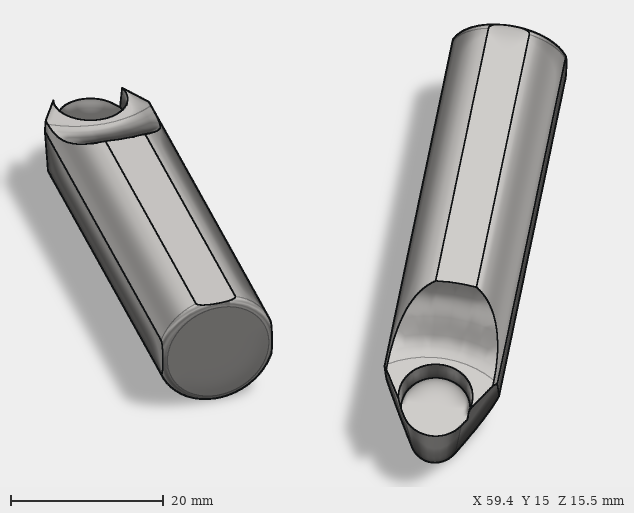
import cadquery as cq
import math

length = 59.35
shank_diameter = 15.95
across_flats = 15.0
end_round = 1.0
nose_radius = 4.35
relief_angle = 7.0
flank_angle = 30.0
disc_z = 0.8
seat_z = 3.7
pocket_clearance = 0.2
seat_radius = 12.9
seat_end_x = 10.2
scoop_end_x = 19.5

shank_radius = shank_diameter / 2
flat_distance = across_flats / 2
nose_x = nose_radius
relief_slope = math.tan(math.radians(relief_angle))
scoop_x = seat_end_x - seat_radius


def make_shank():
    """Round bar with a rounded rear rim and flats on the top and both sides."""
    bar = cq.Workplane("YZ").circle(shank_radius).extrude(length)
    bar = bar.faces(">X").edges().fillet(end_round)
    bottom_to_top = shank_radius + flat_distance
    envelope = cq.Workplane("XY").box(
        length, 2 * flat_distance, bottom_to_top, centered=(False, True, False)
    ).translate((0, 0, -shank_radius))
    return bar.intersect(envelope)


def make_nose_envelope():
    """Drafted wedge: a conical nose with two tangent flanks opening rearwards."""
    radius = nose_radius + relief_slope * (flat_distance - disc_z)
    angle = math.radians(flank_angle)
    tangent_x = nose_x - radius * math.sin(angle)
    tangent_y = radius * math.cos(angle)
    rear_x = 2 * length
    rear_y = tangent_y + (rear_x - tangent_x) * math.tan(angle)
    return (
        cq.Workplane("XY", origin=(0, 0, flat_distance))
        .moveTo(rear_x, rear_y)
        .lineTo(tangent_x, tangent_y)
        .threePointArc((nose_x - radius, 0), (tangent_x, -tangent_y))
        .lineTo(rear_x, -rear_y)
        .close()
        .extrude(-(flat_distance + shank_radius), taper=relief_angle)
    )


def make_scoop():
    """Cutter for the flat seat and the concave run-out, turned about a vertical axis."""
    rise = flat_distance - seat_z
    run = scoop_end_x - seat_end_x
    arc_radius = (run**2 + rise**2) / (2 * rise)
    arc_half_angle = math.radians(45)
    middle = (
        seat_radius + arc_radius * math.sin(arc_half_angle),
        seat_z + arc_radius * (1 - math.cos(arc_half_angle)),
    )
    top_z = seat_z + arc_radius
    return (
        cq.Workplane("XZ")
        .moveTo(0, seat_z)
        .lineTo(seat_radius, seat_z)
        .threePointArc(middle, (seat_radius + arc_radius, top_z))
        .lineTo(0, top_z)
        .close()
        .revolve(360, (0, 0), (0, 1))
        .translate((scoop_x, 0, 0))
    )


def make_pocket():
    """Conical cutter that opens upwards from the tip disc level."""
    return (
        cq.Workplane("XY", origin=(nose_x, 0, disc_z))
        .circle(nose_radius + pocket_clearance)
        .extrude(flat_distance - disc_z, taper=-relief_angle)
    )


result = make_shank().intersect(make_nose_envelope())
result = result.cut(make_scoop()).cut(make_pocket())